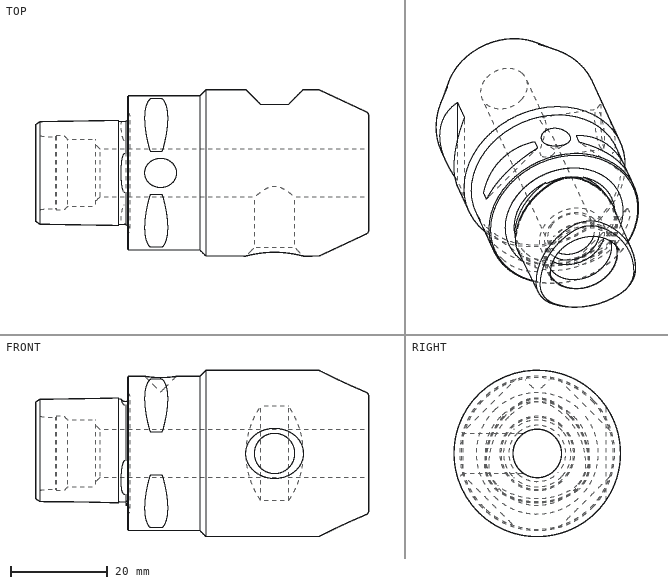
import cadquery as cq
import math

total_length = 69.0
body_diameter = 34.5
flange_diameter = 32.0
flange_start = 19.0
flange_end = 34.0
flange_edge = 0.3
edge_radius = 1.0

nose_start = 58.65
nose_angle = 25.0

lobe_pitch = 120
lobe_half_angle = 30
lobe_center = 4.6
lobe_radius = 6.9
shank_taper = 0.3
shank_length = 17.2
shank_chamfer = 0.9
shank_chamfer_depth = 0.6
neck_step = 0.2

groove_radius = 1.0
groove_x = 18.55
groove_center_radius = 11.7
shoulder_start = 18.7

bore_diameter = 10.0
mouth_diameter = 15.45
mouth_rounding = 0.5
lead_in_depth = 2.0
socket_diameter = 15.0
relief_diameter = 15.45
relief_start = 4.1
relief_rounding = 0.7
seat_diameter = 13.95
seat_start = 6.6
seat_depth = 12.4
bore_chamfer_diameter = 11.7

slot_x = 25.0
slot_bottom_width = 2.5
slot_floor_distance = 14.0
slot_half_angle = 30.0
slot_floor_radius = 0.35
slot_count = 4

dimple_x = 25.9
dimple_radius = 3.3

screw_x = 49.5
screw_diameter = 8.35
countersink_radius = 6.0
notch_floor_distance = 14.2
notch_floor_width = 5.8
notch_half_angle = 45.0

body_radius = body_diameter / 2
flange_radius = flange_diameter / 2


def polygon_wire(x, end_radius):
    """Rounded triangle in the plane at x: three lobe arcs joined by three flank arcs, one lobe on +Z."""
    corner_spacing = lobe_center * math.sqrt(3)
    flank_radius = corner_spacing + end_radius
    flank_middle = flank_radius - lobe_center

    def on_ray(radius, angle):
        return (radius * math.cos(math.radians(angle)), radius * math.sin(math.radians(angle)))

    def arc_end(angle, side):
        center_y, center_z = on_ray(lobe_center, angle)
        offset_y, offset_z = on_ray(end_radius, angle + side * lobe_half_angle)
        return (center_y + offset_y, center_z + offset_z)

    first_lobe = 90
    outline = cq.Workplane("YZ", origin=(x, 0, 0)).moveTo(*arc_end(first_lobe, -1))
    for angle in range(first_lobe, first_lobe + 360, lobe_pitch):
        outline = outline.threePointArc(on_ray(lobe_center + end_radius, angle), arc_end(angle, 1))
        next_lobe_start = arc_end(angle + lobe_pitch, -1)
        outline = outline.threePointArc(on_ray(flank_middle, angle + lobe_pitch / 2), next_lobe_start)
    return outline.close().val()


def polygon_frustum(x_start, radius_start, x_end, radius_end):
    """Solid between two rounded triangles that differ only in their lobe radius."""
    wires = [polygon_wire(x_start, radius_start), polygon_wire(x_end, radius_end)]
    return cq.Workplane(cq.Solid.makeLoft(wires, True))


def make_body():
    """Turned flange with its low shoulder, and the body with the tapered nose."""
    shoulder_length = body_radius - flange_radius
    nose_length = total_length - nose_start
    nose_end_radius = body_radius - nose_length * math.tan(math.radians(nose_angle))
    profile = (
        cq.Workplane("XY")
        .moveTo(shoulder_start, 0)
        .lineTo(shoulder_start, groove_center_radius)
        .lineTo(flange_start, groove_center_radius)
        .lineTo(flange_start, flange_radius - flange_edge)
        .lineTo(flange_start + flange_edge, flange_radius)
        .lineTo(flange_end, flange_radius)
        .lineTo(flange_end + shoulder_length, body_radius)
        .lineTo(nose_start, body_radius)
        .lineTo(total_length, nose_end_radius)
        .lineTo(total_length, 0)
        .close()
    )
    body = profile.revolve(360, (0, 0, 0), (1, 0, 0))
    nose_edges = cq.selectors.BoxSelector(
        (nose_start - edge_radius, -body_diameter, -body_diameter),
        (total_length + edge_radius, body_diameter, body_diameter),
    )
    return body.edges("%CIRCLE").edges(nose_edges).fillet(edge_radius)


def make_shank():
    """Tapered polygon shank with a chamfered end and a stepped-down neck."""
    tip_radius = lobe_radius - shank_taper
    chamfer_radius = tip_radius + shank_taper * shank_chamfer / shank_length
    tip = polygon_frustum(0, chamfer_radius - shank_chamfer_depth, shank_chamfer, chamfer_radius)
    taper = polygon_frustum(shank_chamfer, chamfer_radius, shank_length, lobe_radius)
    neck_radius = lobe_radius - neck_step
    neck = polygon_frustum(shank_length, neck_radius, flange_start + groove_radius, neck_radius)
    return tip.union(taper).union(neck)


def make_ring_groove():
    """Round-bottomed ring that undercuts the flange face and scoops the three lobes of the neck."""
    profile = cq.Workplane("XY").center(groove_x, groove_center_radius).circle(groove_radius)
    return profile.revolve(360, (0, -groove_center_radius, 0), (1, -groove_center_radius, 0))


def make_bore():
    """Through bore with a rounded mouth, a socket, a relief groove and a narrower seat."""
    bore_radius = bore_diameter / 2
    seat_radius = seat_diameter / 2
    socket_radius = socket_diameter / 2
    relief_radius = relief_diameter / 2
    mouth_radius = mouth_diameter / 2
    bore_chamfer_radius = bore_chamfer_diameter / 2

    sin_45 = math.sin(math.radians(45))
    blend_end_radius = relief_radius - relief_rounding * (1 - sin_45)
    blend_end = seat_start - (blend_end_radius - seat_radius)
    blend_start = blend_end - relief_rounding * sin_45

    profile = (
        cq.Workplane("XY")
        .lineTo(0, mouth_radius + mouth_rounding)
        .radiusArc((mouth_rounding, mouth_radius), -mouth_rounding)
        .lineTo(lead_in_depth, socket_radius)
        .lineTo(relief_start, socket_radius)
        .lineTo(relief_start + relief_radius - socket_radius, relief_radius)
        .lineTo(blend_start, relief_radius)
        .radiusArc((blend_end, blend_end_radius), relief_rounding)
        .lineTo(seat_start, seat_radius)
        .lineTo(seat_depth, seat_radius)
        .lineTo(seat_depth, bore_chamfer_radius)
        .lineTo(seat_depth + bore_chamfer_radius - bore_radius, bore_radius)
        .lineTo(total_length, bore_radius)
        .lineTo(total_length, 0)
        .close()
    )
    return profile.revolve(360, (0, 0, 0), (1, 0, 0))


def make_flared_slot(x, floor_distance, floor_width, half_angle, top_distance):
    """Straight slot along Z on the +Y side, its walls leaning outwards from the floor."""
    floor_half = floor_width / 2
    top_half = floor_half + (top_distance - floor_distance) * math.tan(math.radians(half_angle))
    return (
        cq.Workplane("XY")
        .polyline(
            [
                (x - floor_half, floor_distance),
                (x + floor_half, floor_distance),
                (x + top_half, top_distance),
                (x - top_half, top_distance),
            ]
        )
        .close()
        .extrude(body_radius, both=True)
    )


def cut_gripper_slots(part):
    """Tangential slots halfway between the Y and Z axes."""
    slot = make_flared_slot(slot_x, slot_floor_distance, slot_bottom_width, slot_half_angle, body_radius)
    slot = slot.faces("<Y").edges("|Z").fillet(slot_floor_radius)
    slot_pitch = 360 / slot_count
    for index in range(slot_count):
        angle = (index + 0.5) * slot_pitch
        part = part.cut(slot.rotate((0, 0, 0), (1, 0, 0), angle))
    return part


def make_dimple():
    """Right-angled cone pointing down from the top of the flange."""
    base = cq.Vector(dimple_x, 0, flange_radius)
    return cq.Workplane(cq.Solid.makeCone(dimple_radius, 0, dimple_radius, base, cq.Vector(0, 0, -1)))


def make_screw_hole():
    """Radial hole into the bore with a 45 degree countersink."""
    hole_radius = screw_diameter / 2
    mouth = cq.Vector(screw_x, -body_radius, 0)
    inward = cq.Vector(0, 1, 0)
    hole = cq.Solid.makeCylinder(hole_radius, body_radius, mouth, inward)
    sink_depth = countersink_radius - hole_radius
    countersink = cq.Solid.makeCone(countersink_radius, hole_radius, sink_depth, mouth, inward)
    return cq.Workplane(hole).union(cq.Workplane(countersink))


relief_notch = make_flared_slot(screw_x, notch_floor_distance, notch_floor_width, notch_half_angle, body_radius)

result = make_body().union(make_shank()).cut(make_ring_groove()).cut(make_bore())
result = cut_gripper_slots(result)
result = result.cut(make_dimple()).cut(make_screw_hole()).cut(relief_notch)